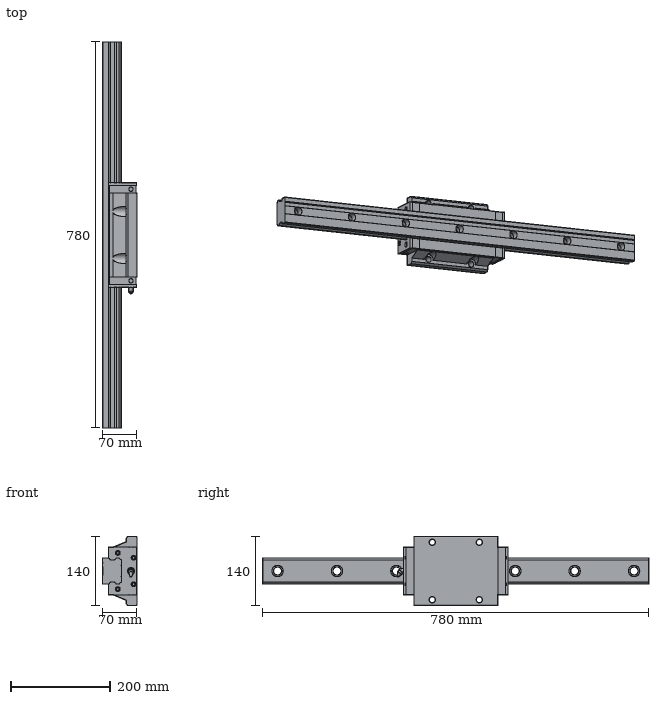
import cadquery as cq
import math


RAIL_LENGTH = 780.0
RAIL_WIDTH = 53.0
RAIL_HEIGHT = 38.0
RAIL_BASE_CHAMFER = 1.0
BASE_STEP = 12.5
WAIST_START = 16.5
WAIST_END = 24.0
HEAD_START = 28.5
HEAD_END = 33.2
WAIST_HALF = 22.0
TOP_HALF = 22.0
RAIL_HALF = RAIL_WIDTH / 2

RAIL_HOLE_PITCH = 120.0
RAIL_HOLE_COUNT = 7
RAIL_HOLE_DIAMETER = 16.0
RAIL_COUNTERBORE_DIAMETER = 23.0
RAIL_COUNTERBORE_DEPTH = 20.0

BASE_GROOVE_DEPTH = 0.5
RELIEF_GROOVE_WIDTH = 16.5
MARK_GROOVE_WIDTH = 2.0
MARK_GROOVE_OFFSET = 16.5

CARRIAGE_TOP = 70.0
CARRIAGE_BOTTOM = 11.8
BLOCK_LENGTH = 169.6
BODY_WIDTH = 96.0
BODY_HALF = BODY_WIDTH / 2
LOWER_CHAMFER_X = 2.4
LOWER_CHAMFER_Z = 0.8
RAIL_CLEARANCE = 0.5

FLANGE_WIDTH = 140.0
FLANGE_HALF = FLANGE_WIDTH / 2
SLOPE_START = 21.0
FLANGE_BOTTOM = 47.5
FLANGE_ROOT_HALF = 59.0
FLANGE_LOWER_CHAMFER = 4.0
FLANGE_TOP_RADIUS = 3.0

BOLT_SPACING_Y = 95.0
BOLT_SPACING_Z = 116.0
BOLT_HOLE_DIAMETER = 11.84
BOLT_CLEARANCE_DIAMETER = 20.4

CARRIAGE_LENGTH = 211.4
SEAL_THICKNESS = 5.5
CAP_LENGTH = (CARRIAGE_LENGTH - BLOCK_LENGTH) / 2 - SEAL_THICKNESS
CAP_TOP = 68.0
SEAL_TOP = 69.0
SIDE_PORT_DIAMETER = 8.7
SIDE_PORT_DEPTH = 1.5

SCREW_PLACES = ((31.0, 36.5), (62.8, 26.8))
SCREW_HOLE_DIAMETER = 5.5
SCREW_HEAD_DIAMETER = 9.5
SCREW_HEAD_DEPTH = 3.0

NIPPLE_X = 57.5
NIPPLE_OPENING_DIAMETER = 14.0
STEM_DIAMETER = 9.83
STEM_REACH = 5.0
HEAD_ANGLE = 60.0
HEAD_LENGTH = 13.5
HEAD_DIAMETER = 10.4
TIP_DIAMETER = 3.0
TIP_TAPER = 9.0

BLOCK_END = BLOCK_LENGTH / 2
CAP_END = BLOCK_END + CAP_LENGTH
CARRIAGE_END = CARRIAGE_LENGTH / 2


def mirrored(half_outline):
    """Close an outline given by its (X, Z) points on the +Z side."""
    return half_outline + [(x, -z) for x, z in reversed(half_outline)]


def extrude_along_y(outline, y_start, y_end):
    """Solid with an (X, Z) outline between two Y places."""
    return (
        cq.Workplane("XZ", origin=(0, y_start, 0))
        .polyline(outline)
        .close()
        .extrude(y_start - y_end)
    )


def cylinder_x(diameter, x_start, x_end, y, z):
    return (
        cq.Workplane("YZ", origin=(x_start, 0, 0))
        .center(y, z)
        .circle(diameter / 2)
        .extrude(x_end - x_start)
    )


def cylinder_y(diameter, y_start, y_end, x, z):
    return (
        cq.Workplane("XZ", origin=(x, y_start, z))
        .circle(diameter / 2)
        .extrude(y_start - y_end)
    )


def rail_flank(clearance):
    """(X, Z) points of the rail's +Z side above its base, grown by a clearance."""
    return [
        (BASE_STEP, RAIL_HALF + clearance),
        (WAIST_START, WAIST_HALF + clearance),
        (WAIST_END, WAIST_HALF + clearance),
        (HEAD_START, RAIL_HALF + clearance),
        (HEAD_END, RAIL_HALF + clearance),
        (RAIL_HEIGHT + clearance, TOP_HALF + clearance),
    ]


def make_rail():
    base = [(0, RAIL_HALF - RAIL_BASE_CHAMFER), (RAIL_BASE_CHAMFER, RAIL_HALF)]
    outline = mirrored(base + rail_flank(0))
    rail = extrude_along_y(outline, -RAIL_LENGTH / 2, RAIL_LENGTH / 2)

    for width, z in ((RELIEF_GROOVE_WIDTH, 0), (MARK_GROOVE_WIDTH, MARK_GROOVE_OFFSET)):
        groove = cq.Workplane("XY").box(2 * BASE_GROOVE_DEPTH, RAIL_LENGTH, width)
        rail = rail.cut(groove.translate((0, 0, z)))

    for index in range(RAIL_HOLE_COUNT):
        y = (index - (RAIL_HOLE_COUNT - 1) / 2) * RAIL_HOLE_PITCH
        seat = RAIL_HEIGHT - RAIL_COUNTERBORE_DEPTH
        rail = rail.cut(cylinder_x(RAIL_HOLE_DIAMETER, 0, RAIL_HEIGHT, y, 0))
        rail = rail.cut(cylinder_x(RAIL_COUNTERBORE_DIAMETER, seat, RAIL_HEIGHT, y, 0))
    return rail


def rail_passage(y_start, y_end, clearance):
    """Channel for the rail, open toward -X."""
    mouth = [(0, RAIL_HALF + clearance)]
    return extrude_along_y(mirrored(mouth + rail_flank(clearance)), y_start, y_end)


def make_block():
    half_outline = [
        (CARRIAGE_BOTTOM, BODY_HALF - LOWER_CHAMFER_Z),
        (CARRIAGE_BOTTOM + LOWER_CHAMFER_X, BODY_HALF),
        (SLOPE_START, BODY_HALF),
        (FLANGE_BOTTOM, FLANGE_ROOT_HALF),
        (FLANGE_BOTTOM, FLANGE_HALF - FLANGE_LOWER_CHAMFER),
        (FLANGE_BOTTOM + FLANGE_LOWER_CHAMFER, FLANGE_HALF),
        (CARRIAGE_TOP, FLANGE_HALF),
    ]
    block = extrude_along_y(mirrored(half_outline), -BLOCK_END, BLOCK_END)
    for side in ("<Z", ">Z"):
        block = block.faces(side).edges(">X").fillet(FLANGE_TOP_RADIUS)
    block = block.cut(rail_passage(-BLOCK_END, BLOCK_END, RAIL_CLEARANCE))

    for y in (-BOLT_SPACING_Y / 2, BOLT_SPACING_Y / 2):
        for z in (-BOLT_SPACING_Z / 2, BOLT_SPACING_Z / 2):
            block = block.cut(cylinder_x(BOLT_HOLE_DIAMETER, 0, CARRIAGE_TOP, y, z))
            block = block.cut(cylinder_x(BOLT_CLEARANCE_DIAMETER, 0, FLANGE_BOTTOM, y, z))
    return block


def make_end_cap(side):
    """End cap on the side (+1 or -1) of the block along Y."""
    y_inner = side * BLOCK_END
    y_outer = side * CAP_END
    half_outline = [
        (CARRIAGE_BOTTOM, BODY_HALF - LOWER_CHAMFER_Z),
        (CARRIAGE_BOTTOM + LOWER_CHAMFER_X, BODY_HALF),
        (CAP_TOP, BODY_HALF),
    ]
    cap = extrude_along_y(mirrored(half_outline), y_inner, y_outer)
    cap = cap.cut(rail_passage(y_inner, y_outer, RAIL_CLEARANCE))

    for z in (-BODY_HALF, BODY_HALF):
        port = (
            cq.Workplane("XY", origin=(NIPPLE_X, (y_inner + y_outer) / 2, z))
            .circle(SIDE_PORT_DIAMETER / 2)
            .extrude(SIDE_PORT_DEPTH, both=True)
        )
        cap = cap.cut(port)
    return cap


def make_end_seal(side):
    """Seal plate on the outer face of an end cap: it wipes the rail and has counterbored screw holes."""
    y_inner = side * CAP_END
    y_outer = side * CARRIAGE_END
    y_seat = y_outer - side * SCREW_HEAD_DEPTH
    outline = mirrored([(CARRIAGE_BOTTOM, BODY_HALF), (SEAL_TOP, BODY_HALF)])
    seal = extrude_along_y(outline, y_inner, y_outer)
    seal = seal.cut(rail_passage(y_inner, y_outer, 0))
    for x, z_offset in SCREW_PLACES:
        for z in (-z_offset, z_offset):
            seal = seal.cut(cylinder_y(SCREW_HOLE_DIAMETER, y_inner, y_outer, x, z))
            seal = seal.cut(cylinder_y(SCREW_HEAD_DIAMETER, y_seat, y_outer, x, z))
    return seal.cut(cylinder_y(NIPPLE_OPENING_DIAMETER, y_inner, y_outer, NIPPLE_X, 0))


def make_nipple():
    """Elbow grease nipple standing on the -Y end cap, its head turned toward -Z."""
    elbow_y = -CARRIAGE_END - STEM_REACH
    stem = cylinder_y(STEM_DIAMETER, -CAP_END, elbow_y, NIPPLE_X, 0)
    elbow = cq.Workplane("XY").sphere(STEM_DIAMETER / 2).translate((NIPPLE_X, elbow_y, 0))

    turn = math.radians(HEAD_ANGLE)
    head_direction = (0, -math.cos(turn), -math.sin(turn))
    head_plane = cq.Plane(origin=(NIPPLE_X, elbow_y, 0), xDir=(1, 0, 0), normal=head_direction)
    straight = HEAD_LENGTH - TIP_TAPER
    head = (
        cq.Workplane(head_plane)
        .circle(HEAD_DIAMETER / 2)
        .extrude(straight)
        .union(
            cq.Workplane(head_plane)
            .workplane(offset=straight)
            .circle(HEAD_DIAMETER / 2)
            .workplane(offset=TIP_TAPER)
            .circle(TIP_DIAMETER / 2)
            .loft()
        )
    )
    return stem.union(elbow).union(head)


rail = make_rail()
block = make_block()
end_caps = [make_end_cap(side) for side in (-1, 1)]
end_seals = [make_end_seal(side) for side in (-1, 1)]
nipple = make_nipple()

result = cq.Compound.makeCompound(
    [
        rail.val(),
        block.val(),
        *[cap.val() for cap in end_caps],
        *[seal.val() for seal in end_seals],
        nipple.val(),
    ]
)